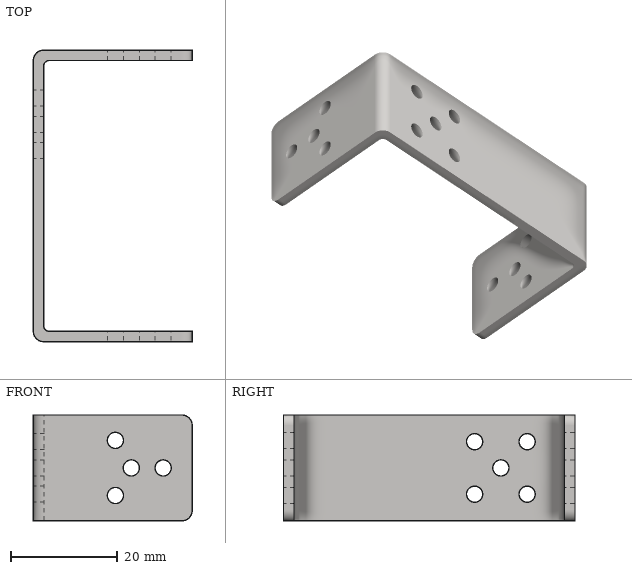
import cadquery as cq
import math

DEPTH = 30.0
WIDTH = 55.0
HEIGHT = 20.0
THICKNESS = 2.0

OUTER_BEND_RADIUS = 2.0
INNER_BEND_RADIUS = 1.0
ARM_CORNER_RADIUS = 2.0

HOLE_DIAMETER = 3.0
ARM_PATTERN_X = 18.5
ARM_PATTERN_RADIUS = 6.0
ARM_PATTERN_COUNT = 3
WEB_PATTERN_Y = 13.5
WEB_PATTERN_RADIUS = 7.0
WEB_PATTERN_COUNT = 4
WEB_PATTERN_START = 45.0


def make_channel():
    """U-shaped sheet: the web lies at X = 0 and the arms point along +X."""
    outer = cq.Workplane("XY").box(DEPTH, WIDTH, HEIGHT, centered=(False, True, True))
    outer = outer.edges("|Z and <X").fillet(OUTER_BEND_RADIUS)
    inner = (
        cq.Workplane("XY")
        .box(DEPTH, WIDTH - 2 * THICKNESS, HEIGHT, centered=(False, True, True))
        .translate((THICKNESS, 0, 0))
        .edges("|Z and <X")
        .fillet(INNER_BEND_RADIUS)
    )
    return outer.cut(inner)


def round_arm_ends(body):
    """Round the upper and lower corners at the free end of each arm."""
    return body.edges("|Y and >X").fillet(ARM_CORNER_RADIUS)


def hole_pattern(center, radius, count, start_angle=0.0):
    """Centers of one hole on the X or Y axis and the holes evenly spaced around it."""
    points = [(center, 0)]
    for i in range(count):
        angle = math.radians(start_angle + 360 * i / count)
        points.append((center + radius * math.cos(angle), radius * math.sin(angle)))
    return points


def arm_hole_cutter():
    """Pins along Y that pass through both arms."""
    return (
        cq.Workplane("XZ")
        .pushPoints(hole_pattern(ARM_PATTERN_X, ARM_PATTERN_RADIUS, ARM_PATTERN_COUNT))
        .circle(HOLE_DIAMETER / 2)
        .extrude(WIDTH / 2, both=True)
    )


def web_hole_cutter():
    """Pins along X that pass through the web."""
    points = hole_pattern(
        WEB_PATTERN_Y, WEB_PATTERN_RADIUS, WEB_PATTERN_COUNT, WEB_PATTERN_START
    )
    return (
        cq.Workplane("YZ")
        .pushPoints(points)
        .circle(HOLE_DIAMETER / 2)
        .extrude(THICKNESS)
    )


bracket = round_arm_ends(make_channel())
result = bracket.cut(arm_hole_cutter()).cut(web_hole_cutter())